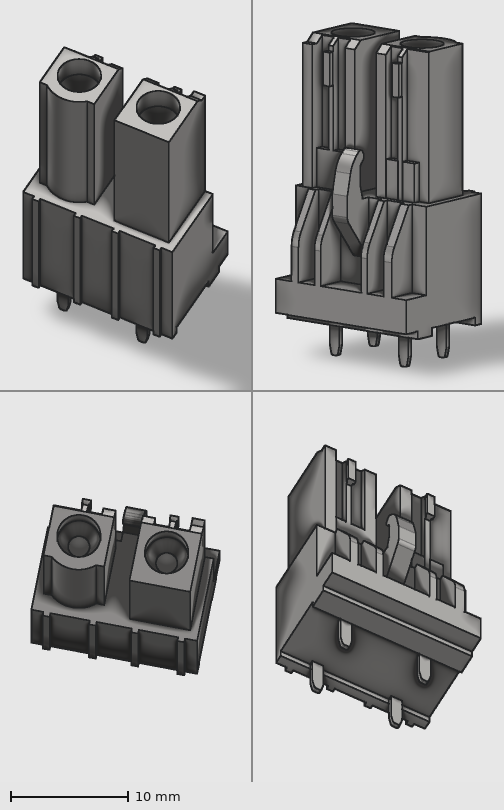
import cadquery as cq
import math


pole_pitch = 7.63
pole_x = (-pole_pitch / 2, pole_pitch / 2)
total_height = 27.75

base_width = 14.42
base_front = -3.83
wall_back = 3.55
base_back = 6.27
base_top = 11.37
ledge_top = 3.65
underside = 0.7
skirt_back = -3.0
foot_front = 2.77
foot_back = 4.7

rib_width = 0.6
rib_depth = 0.33
rib_x = (-5.85, -1.83, 1.83, 5.85)

gusset_spans = ((-5.63, -4.72), (-2.9, -2.25), (2.25, 2.9), (4.7, 5.46))
gusset_top_back = 4.0
gusset_slope = math.radians(30)
gusset_round = 2.6

latch_width = 1.66

pin_drop = 3.15
tower_top = total_height - pin_drop
tower_width = 5.27
tower_half = tower_width / 2
shaft_back = 2.27
spine_back = 2.97
chamfer_start = 2.2
chamfer_drop = 0.7
square_front = -3.02
round_radius = 2.97
round_half_width = 1.95
round_shoulder = -math.sqrt(round_radius**2 - round_half_width**2)

recess_floor = 14.79
round_plate_back = 2.9
post_width = 1.08
web_width = 0.5
stud_width = 0.72
stud_back = 3.58
stud_head_front = 3.2
stud_bottom = 20.47
stud_top = 23.4
key_top = tower_top - chamfer_drop

bore_radius = 1.85
bore_depth = 2.03
cone_floor_radius = 0.92
cone_depth = 1.66

pin_width = 1.08
pin_thickness = 0.4
pin_tip_width = 0.67
pin_taper_start = -2.2
pin_tip_round = 0.25
pin_centers_y = (skirt_back + pin_thickness / 2, 2.3)


def block(x_min, x_max, y_min, y_max, z_min, z_max):
    """Axis-aligned box between the given limits."""
    return cq.Workplane("XY").box(
        x_max - x_min, y_max - y_min, z_max - z_min, centered=False
    ).translate((x_min, y_min, z_min))


def make_base():
    """Block with a rear ledge, a front skirt and a rear foot."""
    half_width = base_width / 2
    return (
        cq.Workplane("YZ", origin=(-half_width, 0, 0))
        .moveTo(base_front, 0)
        .lineTo(skirt_back, 0)
        .lineTo(skirt_back, underside)
        .lineTo(foot_front, underside)
        .lineTo(foot_front, 0)
        .lineTo(foot_back, 0)
        .lineTo(foot_back, underside)
        .lineTo(base_back, underside)
        .lineTo(base_back, ledge_top)
        .lineTo(wall_back, ledge_top)
        .lineTo(wall_back, base_top)
        .lineTo(base_front, base_top)
        .close()
        .extrude(base_width)
    )


def make_front_rib(x):
    """Full-height rib on the front face."""
    return block(x - rib_width / 2, x + rib_width / 2, base_front - rib_depth, base_front, 0, base_top)


def make_gusset(x_min, x_max):
    """Rib standing on the ledge, sloped at the top and rounded into its vertical back."""
    corner_z = base_top - (base_back - gusset_top_back) / math.tan(gusset_slope)
    tangent = gusset_round * math.tan(gusset_slope / 2)
    slope_end = (base_back - tangent * math.sin(gusset_slope), corner_z + tangent * math.cos(gusset_slope))
    return (
        cq.Workplane("YZ", origin=(x_min, 0, 0))
        .moveTo(wall_back, ledge_top)
        .lineTo(wall_back, base_top)
        .lineTo(gusset_top_back, base_top)
        .lineTo(*slope_end)
        .tangentArcPoint((base_back, corner_z - tangent), relative=False)
        .lineTo(base_back, ledge_top)
        .close()
        .extrude(x_max - x_min)
    )


def make_latch():
    """Hooked latch arm rising from the rear wall between the towers (points are Y, Z)."""
    return (
        cq.Workplane("YZ", origin=(-latch_width / 2, 0, 0))
        .moveTo(wall_back, 6.1)
        .lineTo(wall_back, base_top)
        .lineTo(4.35, base_top)
        .lineTo(4.7, 12.57)
        .lineTo(4.7, 14.12)
        .threePointArc((4.65, 14.25), (4.58, 14.42))
        .lineTo(4.3, 14.73)
        .threePointArc((4.2, 14.98), (4.22, 15.23))
        .lineTo(4.35, 15.48)
        .threePointArc((4.58, 15.65), (4.85, 15.55))
        .lineTo(5.2, 15.25)
        .threePointArc((5.7, 14.6), (6.0, 13.81))
        .lineTo(6.4, 11.93)
        .lineTo(6.4, 10.07)
        .threePointArc((6.35, 9.75), (6.2, 9.5))
        .close()
        .extrude(latch_width)
    )


def make_round_shaft(x):
    """Shaft of the left tower, with a round front between two flat shoulders."""
    return (
        cq.Workplane("XY", origin=(x, 0, base_top))
        .moveTo(-tower_half, shaft_back)
        .lineTo(-tower_half, round_shoulder)
        .lineTo(-round_half_width, round_shoulder)
        .threePointArc((0, -round_radius), (round_half_width, round_shoulder))
        .lineTo(tower_half, round_shoulder)
        .lineTo(tower_half, shaft_back)
        .close()
        .extrude(tower_top - base_top)
    )


def make_square_shaft(x):
    """Plain rectangular shaft of the right tower."""
    return block(x - tower_half, x + tower_half, square_front, shaft_back, base_top, tower_top)


def make_spine(x_min, x_max):
    """Full-height strip on the back of a tower."""
    return block(x_min, x_max, shaft_back, spine_back, base_top, tower_top)


def make_back_chamfer(x):
    """Wedge to remove from the rear top edge of a tower."""
    return (
        cq.Workplane("YZ", origin=(x - tower_half, 0, 0))
        .moveTo(chamfer_start, tower_top)
        .lineTo(spine_back, tower_top)
        .lineTo(spine_back, tower_top - chamfer_drop)
        .close()
        .extrude(tower_width)
    )


def make_stud(x):
    """Short T-shaped stud on the web: a stem as wide as the web and a wider head."""
    stem = block(x - web_width / 2, x + web_width / 2, spine_back, stud_head_front, stud_bottom, stud_top)
    head = block(x - stud_width / 2, x + stud_width / 2, stud_head_front, stud_back, stud_bottom, stud_top)
    return stem.union(head)


def make_tower_back(x, plate_back):
    """Rear features shared by both towers: plate, web, T-stud and right-hand post."""
    plate_half = tower_half - post_width
    plate = block(x - plate_half, x + plate_half, shaft_back, plate_back, base_top, recess_floor)
    web = make_spine(x - web_width / 2, x + web_width / 2)
    right_post = make_spine(x + plate_half, x + tower_half)
    return plate.union(web).union(right_post).union(make_stud(x))


def make_left_post_and_key(x):
    """Second post and the coding key, found on the square tower only."""
    left_edge = x - tower_half
    right_edge = x + tower_half
    post = make_spine(left_edge, left_edge + post_width)
    key = block(right_edge - post_width, right_edge, spine_back, stud_back, base_top, key_top)
    return post, key


def make_bore(x):
    """Socket bore with a conical bottom and a flat floor."""
    return (
        cq.Workplane("XZ", origin=(x, 0, tower_top))
        .moveTo(0, 0)
        .lineTo(bore_radius, 0)
        .lineTo(bore_radius, -bore_depth)
        .lineTo(cone_floor_radius, -bore_depth - cone_depth)
        .lineTo(0, -bore_depth - cone_depth)
        .close()
        .revolve(360, (0, 0, 0), (0, 1, 0))
    )


def make_housing():
    """One-piece housing: base, ribs, gussets, latch and both socket towers."""
    left_x, right_x = pole_x
    body = make_base().union(make_latch())
    for x in rib_x:
        body = body.union(make_front_rib(x))
    for x_min, x_max in gusset_spans:
        body = body.union(make_gusset(x_min, x_max))

    body = body.union(make_round_shaft(left_x)).union(make_tower_back(left_x, round_plate_back))
    body = body.union(make_square_shaft(right_x)).union(make_tower_back(right_x, spine_back))
    for part in make_left_post_and_key(right_x):
        body = body.union(part)

    for x in pole_x:
        body = body.cut(make_back_chamfer(x)).cut(make_bore(x))
    return body.solids()


def make_pin(x, y):
    """Flat solder pin below the base, tapered to a rounded tip."""
    half_width = pin_width / 2
    half_tip = pin_tip_width / 2
    return (
        cq.Workplane("XZ", origin=(x, y + pin_thickness / 2, 0))
        .moveTo(-half_width, underside)
        .lineTo(half_width, underside)
        .lineTo(half_width, pin_taper_start)
        .lineTo(half_tip, -pin_drop)
        .lineTo(-half_tip, -pin_drop)
        .lineTo(-half_width, pin_taper_start)
        .close()
        .extrude(pin_thickness)
        .faces("<Z")
        .edges("|Y")
        .fillet(pin_tip_round)
    )


housing = make_housing()
pins = [make_pin(x, y) for y in pin_centers_y for x in pole_x]

result = cq.Compound.makeCompound([housing.val(), *[pin.val() for pin in pins]])